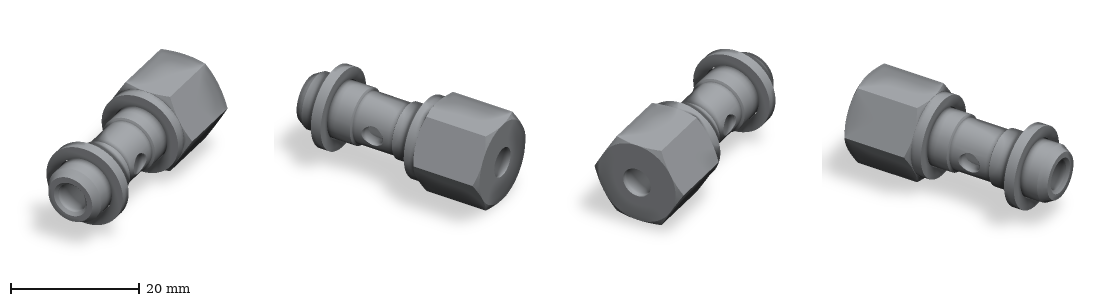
import cadquery as cq
import math

TOTAL_LENGTH = 35.0
TIP_Y = -TOTAL_LENGTH / 2
HEAD_END_Y = TOTAL_LENGTH / 2

HEX_ACROSS_FLATS = 14.0
HEX_ACROSS_CORNERS = HEX_ACROSS_FLATS / math.cos(math.radians(30))
HEX_LENGTH = 12.0
HEAD_BASE_Y = HEAD_END_Y - HEX_LENGTH
HEX_CHAMFER_ANGLE = 30.0

SHANK_DIAMETER = 9.6
NECK_DIAMETER = 8.7
NECK_LENGTH = 7.15
NECK_CENTRE_FROM_TIP = 13.95
NECK_CENTRE_Y = TIP_Y + NECK_CENTRE_FROM_TIP
SHOULDER_ANGLE = 30.0
TIP_CHAMFER_LENGTH = 1.4
TIP_CHAMFER_ANGLE = 30.0

BORE_DIAMETER = 5.0
BORE_MOUTH_DIAMETER = 6.0
CROSS_HOLE_DIAMETER = 3.5
CROSS_HOLE_MOUTH_DIAMETER = 3.92

WASHER_OUTER_DIAMETER = 13.9
WASHER_INNER_DIAMETER = 9.9
WASHER_THICKNESS = 1.8
TIP_WASHER_FROM_TIP = 4.35
WASHER_START_YS = (HEAD_BASE_Y - WASHER_THICKNESS, TIP_Y + TIP_WASHER_FROM_TIP)


def revolve_about_y(points):
    """Revolve a closed (radius, y) outline about the Y axis."""
    return cq.Workplane("XY").polyline(points).close().revolve(360, (0, 0, 0), (0, 1, 0))


def plane_at(y):
    """Plane square to the axis whose normal points along +Y."""
    return cq.Workplane(cq.Plane(origin=(0, y, 0), xDir=(1, 0, 0), normal=(0, 1, 0)))


def make_hex_head():
    """Hexagonal prism with its corners chamfered conically at both ends."""
    prism = plane_at(HEAD_BASE_Y).polygon(6, HEX_ACROSS_CORNERS).extrude(HEX_LENGTH)
    face_radius = HEX_ACROSS_FLATS / 2
    corner_radius = HEX_ACROSS_CORNERS / 2
    chamfer = (corner_radius - face_radius) * math.tan(math.radians(HEX_CHAMFER_ANGLE))
    envelope = revolve_about_y([
        (0, HEAD_BASE_Y),
        (face_radius, HEAD_BASE_Y),
        (corner_radius, HEAD_BASE_Y + chamfer),
        (corner_radius, HEAD_END_Y - chamfer),
        (face_radius, HEAD_END_Y),
        (0, HEAD_END_Y),
    ])
    return prism.intersect(envelope)


def make_shank():
    """Round shank with a tapered tip and a narrower neck."""
    radius = SHANK_DIAMETER / 2
    neck_radius = NECK_DIAMETER / 2
    tip_radius = radius - TIP_CHAMFER_LENGTH * math.tan(math.radians(TIP_CHAMFER_ANGLE))
    shoulder = (radius - neck_radius) * math.tan(math.radians(SHOULDER_ANGLE))
    neck_start = NECK_CENTRE_Y - NECK_LENGTH / 2
    neck_end = NECK_CENTRE_Y + NECK_LENGTH / 2
    return revolve_about_y([
        (0, TIP_Y),
        (tip_radius, TIP_Y),
        (radius, TIP_Y + TIP_CHAMFER_LENGTH),
        (radius, neck_start - shoulder),
        (neck_radius, neck_start),
        (neck_radius, neck_end),
        (radius, neck_end + shoulder),
        (radius, HEAD_BASE_Y),
        (0, HEAD_BASE_Y),
    ])


def make_bore():
    """Through bore with a 45 degree countersink at the tip."""
    bore_radius = BORE_DIAMETER / 2
    mouth_radius = BORE_MOUTH_DIAMETER / 2
    return revolve_about_y([
        (0, TIP_Y),
        (mouth_radius, TIP_Y),
        (bore_radius, TIP_Y + mouth_radius - bore_radius),
        (bore_radius, HEAD_END_Y),
        (0, HEAD_END_Y),
    ])


def make_cross_hole():
    """Hole along X through the neck, with a 45 degree countersink at each mouth."""
    hole_radius = CROSS_HOLE_DIAMETER / 2
    mouth_radius = CROSS_HOLE_MOUTH_DIAMETER / 2
    mouth_x = NECK_DIAMETER / 2
    countersink_depth = mouth_radius - hole_radius
    profile = cq.Workplane("XY").polyline([
        (-mouth_x, NECK_CENTRE_Y),
        (-mouth_x, NECK_CENTRE_Y + mouth_radius),
        (-mouth_x + countersink_depth, NECK_CENTRE_Y + hole_radius),
        (mouth_x - countersink_depth, NECK_CENTRE_Y + hole_radius),
        (mouth_x, NECK_CENTRE_Y + mouth_radius),
        (mouth_x, NECK_CENTRE_Y),
    ]).close()
    return profile.revolve(360, (0, NECK_CENTRE_Y, 0), (1, NECK_CENTRE_Y, 0))


def make_banjo_bolt():
    """Hollow bolt: hexagonal head and shank in one piece."""
    return make_hex_head().union(make_shank()).cut(make_bore()).cut(make_cross_hole())


def make_washer(start_y):
    """Flat sealing washer, loose around the shank."""
    ring = plane_at(start_y).circle(WASHER_OUTER_DIAMETER / 2).circle(WASHER_INNER_DIAMETER / 2)
    return ring.extrude(WASHER_THICKNESS)


banjo_bolt = make_banjo_bolt()
washers = [make_washer(start_y) for start_y in WASHER_START_YS]

result = cq.Compound.makeCompound([banjo_bolt.val(), *[washer.val() for washer in washers]])